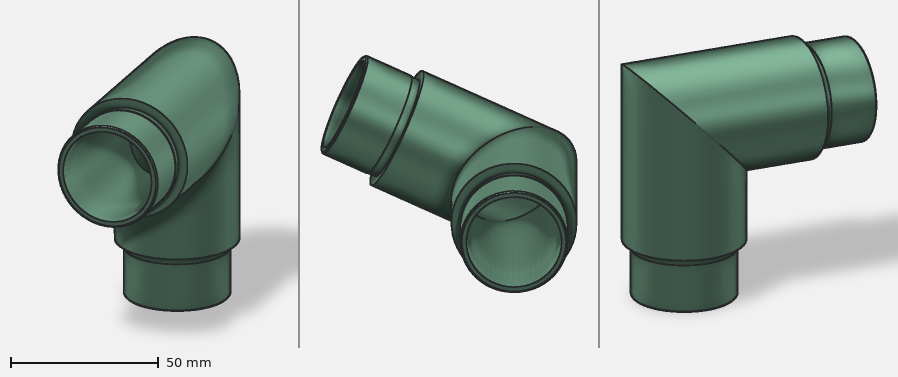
import cadquery as cq

overall_length = 85.0
body_diameter = 42.4
spigot_diameter = 36.3
groove_diameter = 35.9
bore_diameter = 32.2
spigot_length = 17.0
groove_length = 3.0
spigot_chamfer = 0.5

body_radius = body_diameter / 2
spigot_end = overall_length - body_radius
groove_end = spigot_end - spigot_length
body_end = groove_end - groove_length


def half_elbow():
    """Vertical leg with its spigot pointing down, cut off at the 45 degree mitre."""
    leg = (
        cq.Workplane("XZ")
        .moveTo(bore_diameter / 2, body_radius)
        .lineTo(body_radius, body_radius)
        .lineTo(body_radius, -body_end)
        .lineTo(groove_diameter / 2, -body_end)
        .lineTo(groove_diameter / 2, -groove_end)
        .lineTo(spigot_diameter / 2, -groove_end)
        .lineTo(spigot_diameter / 2, -spigot_end + spigot_chamfer)
        .lineTo(spigot_diameter / 2 - spigot_chamfer, -spigot_end)
        .lineTo(bore_diameter / 2, -spigot_end)
        .close()
        .revolve(360, (0, 0, 0), (0, 1, 0))
    )
    below_mitre = (
        cq.Workplane("YZ")
        .polyline(
            [
                (-body_radius, -body_radius),
                (body_radius, body_radius),
                (body_radius, -spigot_end),
                (-body_radius, -spigot_end),
            ]
        )
        .close()
        .extrude(body_radius, both=True)
    )
    return leg.intersect(below_mitre)


vertical_leg = half_elbow()
horizontal_leg = vertical_leg.mirror("XY")
horizontal_leg = horizontal_leg.rotate((0, 0, 0), (1, 0, 0), 90)

result = vertical_leg.union(horizontal_leg)